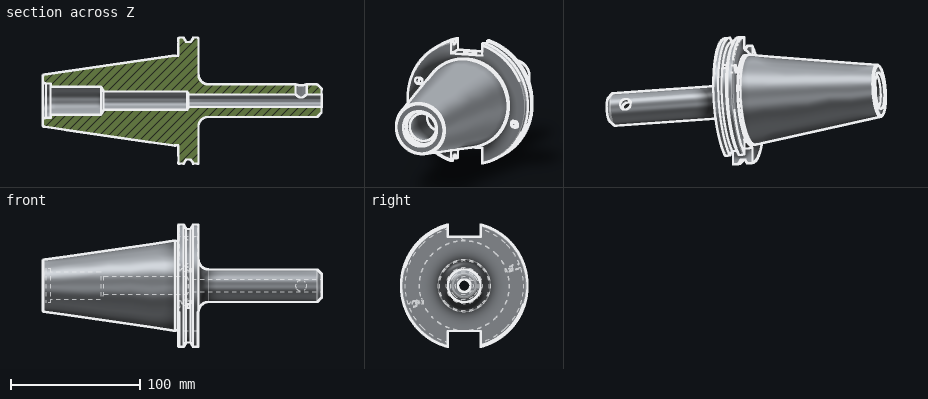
import cadquery as cq
import math


taper_length = 101.6
gauge_diameter = 69.85
taper_ratio = 7 / 24
taper_tip_diameter = gauge_diameter - taper_ratio * taper_length
taper_tip_chamfer = 0.8

flange_back_x = 3.2
relief_diameter = 69.25
relief_start_x = 0.8
relief_end_x = 2.7

flange_diameter = 98.06
flange_front_x = 19.05
rim_rounding = 1.1
groove_centre_x = 11.15
groove_bottom_diameter = 91.5
groove_bottom_width = 3.5
groove_half_angle = 30

shank_diameter = 25.4
shank_length = 95.25
shank_end_x = flange_front_x + shank_length
shank_fillet = 7.5
shank_chamfer = 3.6
shank_chamfer_rounding = 1.1

mouth_diameter = 28.0
mouth_chamfer_length = 2.6
counterbore_diameter = 26.2
counterbore_depth = 6.2
thread_bore_diameter = 21.5
thread_bore_depth = 45.0
drill_point_angle = 118
middle_bore_diameter = 14.0
middle_bore_end_x = 10.0
through_diameter = 9.53

slot_width = 25.4
slot_floor_top = 38.0
slot_floor_bottom = 35.1
dimple_diameter = 9.53

coolant_angle = 20
coolant_mouth_diameter = 5.0
coolant_hole_radius = 42.0
coolant_hole_tilt = 35
coolant_mouth_depth = 2.0
coolant_drill_diameter = 4.2
groove_hole_diameter = 3.24

shank_hole_diameter = 8.38
shank_hole_from_end = 16.1
shank_hole_x = shank_end_x - shank_hole_from_end


def cylinder(start, direction, diameter, length):
    solid = cq.Solid.makeCylinder(diameter / 2, length, cq.Vector(*start), cq.Vector(*direction))
    return cq.Workplane(solid)


def revolve_about_x(profile):
    return profile.revolve(360, (0, 0, 0), (1, 0, 0))


def round_ring(body, x, ring_radius, rounding):
    """Fillet the circular edge of the given radius that lies in the plane X = x."""
    tolerance = 0.001
    rings = [
        edge
        for edge in body.edges("%CIRCLE").vals()
        if abs(edge.Center().x - x) < tolerance and abs(edge.radius() - ring_radius) < tolerance
    ]
    return body.newObject(rings).fillet(rounding)


def turned_body():
    flange_r = flange_diameter / 2
    groove_r = groove_bottom_diameter / 2
    shank_r = shank_diameter / 2
    half_bottom = groove_bottom_width / 2
    half_top = half_bottom + (flange_r - groove_r) * math.tan(math.radians(groove_half_angle))
    tip_r = taper_tip_diameter / 2
    chamfered_r = tip_r + taper_ratio / 2 * taper_tip_chamfer
    fillet_r = shank_r + shank_fillet
    arc_offset = shank_fillet * (1 - math.sqrt(0.5))
    arc_mid = (flange_front_x + arc_offset, shank_r + arc_offset)
    profile = (
        cq.Workplane("XY")
        .moveTo(-taper_length, 0)
        .lineTo(-taper_length, tip_r - taper_tip_chamfer)
        .lineTo(-taper_length + taper_tip_chamfer, chamfered_r)
        .lineTo(0, gauge_diameter / 2)
        .lineTo(relief_start_x, gauge_diameter / 2)
        .lineTo(relief_start_x, relief_diameter / 2)
        .lineTo(relief_end_x, relief_diameter / 2)
        .lineTo(relief_end_x, gauge_diameter / 2)
        .lineTo(flange_back_x, gauge_diameter / 2)
        .lineTo(flange_back_x, flange_r)
        .lineTo(groove_centre_x - half_top, flange_r)
        .lineTo(groove_centre_x - half_bottom, groove_r)
        .lineTo(groove_centre_x + half_bottom, groove_r)
        .lineTo(groove_centre_x + half_top, flange_r)
        .lineTo(flange_front_x, flange_r)
        .lineTo(flange_front_x, fillet_r)
        .threePointArc(arc_mid, (flange_front_x + shank_fillet, shank_r))
        .lineTo(shank_end_x - shank_chamfer, shank_r)
        .lineTo(shank_end_x, shank_r - shank_chamfer)
        .lineTo(shank_end_x, 0)
        .close()
    )
    body = revolve_about_x(profile)
    body = round_ring(body, flange_back_x, flange_r, rim_rounding)
    body = round_ring(body, flange_front_x, flange_r, rim_rounding)
    body = round_ring(body, shank_end_x - shank_chamfer, shank_r, shank_chamfer_rounding)
    return round_ring(body, shank_end_x, shank_r - shank_chamfer, shank_chamfer_rounding)


def stepped_bore():
    mouth_x = -taper_length
    thread_end_x = mouth_x + thread_bore_depth
    thread_r = thread_bore_diameter / 2
    middle_r = middle_bore_diameter / 2
    through_r = through_diameter / 2
    point_slope = math.tan(math.radians(drill_point_angle / 2))
    thread_cone_length = (thread_r - middle_r) / point_slope
    middle_cone_length = (middle_r - through_r) / point_slope
    profile = (
        cq.Workplane("XY")
        .moveTo(mouth_x, 0)
        .lineTo(mouth_x, mouth_diameter / 2)
        .lineTo(mouth_x + mouth_chamfer_length, counterbore_diameter / 2)
        .lineTo(mouth_x + counterbore_depth, counterbore_diameter / 2)
        .lineTo(mouth_x + counterbore_depth, thread_r)
        .lineTo(thread_end_x, thread_r)
        .lineTo(thread_end_x + thread_cone_length, middle_r)
        .lineTo(middle_bore_end_x, middle_r)
        .lineTo(middle_bore_end_x + middle_cone_length, through_r)
        .lineTo(shank_end_x, through_r)
        .lineTo(shank_end_x, 0)
        .close()
    )
    return revolve_about_x(profile)


def drive_slot(side, floor):
    length = flange_front_x - flange_back_x
    height = flange_diameter / 2
    centre = ((flange_back_x + flange_front_x) / 2, 0, side * (floor + height / 2))
    return cq.Workplane("XY").box(length, slot_width, height).translate(centre)


def slot_dimple():
    radius = dimple_diameter / 2
    depth = radius / math.tan(math.radians(drill_point_angle / 2))
    centre = cq.Vector(groove_centre_x, 0, slot_floor_top)
    cone = cq.Solid.makeCone(radius, 0, depth, centre, cq.Vector(0, 0, -1))
    return cq.Workplane(cone)


def coolant_holes(angle):
    """Stepped hole leaning inward from the flange face, met by a radial hole from the groove."""
    out_y = math.cos(math.radians(angle))
    out_z = math.sin(math.radians(angle))
    tilt = math.radians(coolant_hole_tilt)
    direction = (math.cos(tilt), -math.sin(tilt) * out_y, -math.sin(tilt) * out_z)
    face_point = (flange_back_x, coolant_hole_radius * out_y, coolant_hole_radius * out_z)

    lead_in = coolant_mouth_diameter
    mouth_start = tuple(p - lead_in * d for p, d in zip(face_point, direction))
    mouth = cylinder(mouth_start, direction, coolant_mouth_diameter, lead_in + coolant_mouth_depth)

    axial_reach = groove_centre_x - flange_back_x
    drill_length = axial_reach / math.cos(tilt) + coolant_drill_diameter / 2
    drill = cylinder(face_point, direction, coolant_drill_diameter, drill_length)

    crossing_radius = coolant_hole_radius - axial_reach * math.tan(tilt)
    rim_radius = flange_diameter / 2
    groove_hole = cylinder(
        (groove_centre_x, rim_radius * out_y, rim_radius * out_z),
        (0, -out_y, -out_z),
        groove_hole_diameter,
        rim_radius - crossing_radius,
    )
    return mouth.union(drill).union(groove_hole)


def shank_screw_hole():
    """Hole from the +Y side of the shank into the through bore."""
    return cylinder((shank_hole_x, 0, 0), (0, 1, 0), shank_hole_diameter, shank_diameter)


result = turned_body().cut(stepped_bore())
result = result.cut(drive_slot(1, slot_floor_top)).cut(drive_slot(-1, slot_floor_bottom))
result = result.cut(slot_dimple())
for angle in (coolant_angle, coolant_angle + 180):
    result = result.cut(coolant_holes(angle))
result = result.cut(shank_screw_hole())